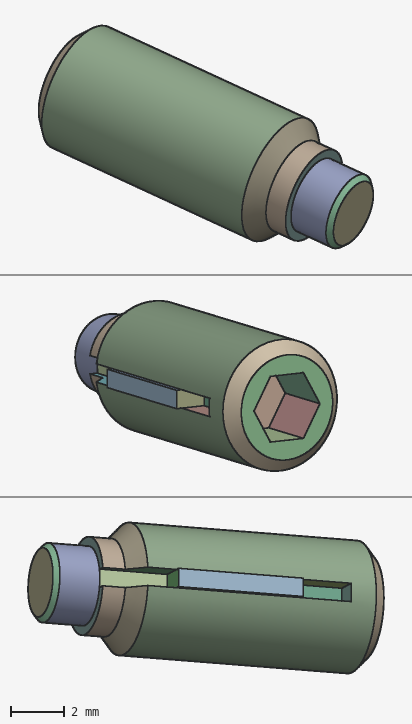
import math

import cadquery as cq

total_length = 13.0
body_diameter = 5.0
socket_end_chamfer = 0.5
collar_diameter = 3.7
collar_length = 0.9
pin_diameter = 3.0
pin_length = 1.8
pin_chamfer = 0.2

socket_across_flats = 2.5
socket_depth = 2.5

slot_start = 1.5
slot_width = 0.7
pad_start = 3.5
pad_length = 5.0
pad_height = 0.2

body_radius = body_diameter / 2
collar_radius = collar_diameter / 2
pin_radius = pin_diameter / 2

pin_start = total_length - pin_length
collar_start = pin_start - collar_length
shoulder_length = body_radius - collar_radius
shoulder_start = collar_start - shoulder_length

slot_floor = pin_radius
pad_top = body_radius + pad_height

socket_across_corners = socket_across_flats / math.cos(math.pi / 6)


def make_turned_body():
    """Revolve the stepped half profile about the X axis."""
    return (
        cq.Workplane("XY")
        .moveTo(0, 0)
        .lineTo(0, body_radius - socket_end_chamfer)
        .lineTo(socket_end_chamfer, body_radius)
        .lineTo(shoulder_start, body_radius)
        .lineTo(collar_start, collar_radius)
        .lineTo(pin_start, collar_radius)
        .lineTo(pin_start, pin_radius)
        .lineTo(total_length - pin_chamfer, pin_radius)
        .lineTo(total_length, pin_radius - pin_chamfer)
        .lineTo(total_length, 0)
        .close()
        .revolve(360, (0, 0, 0), (1, 0, 0))
    )


def make_slot_bar(start, end):
    """Bar as wide as the slot, from the slot floor up to the pad top."""
    return (
        cq.Workplane("XY")
        .box(end - start, pad_top - slot_floor, slot_width, centered=(False, False, True))
        .translate((start, slot_floor, 0))
    )


def make_socket():
    """Hexagonal prism with flats facing up and down and corners on the Y axis."""
    return cq.Workplane("YZ").polygon(6, socket_across_corners).extrude(socket_depth)


slot = make_slot_bar(slot_start, pin_start)
pad = make_slot_bar(pad_start, pad_start + pad_length)

result = make_turned_body().cut(slot).union(pad).cut(make_socket())